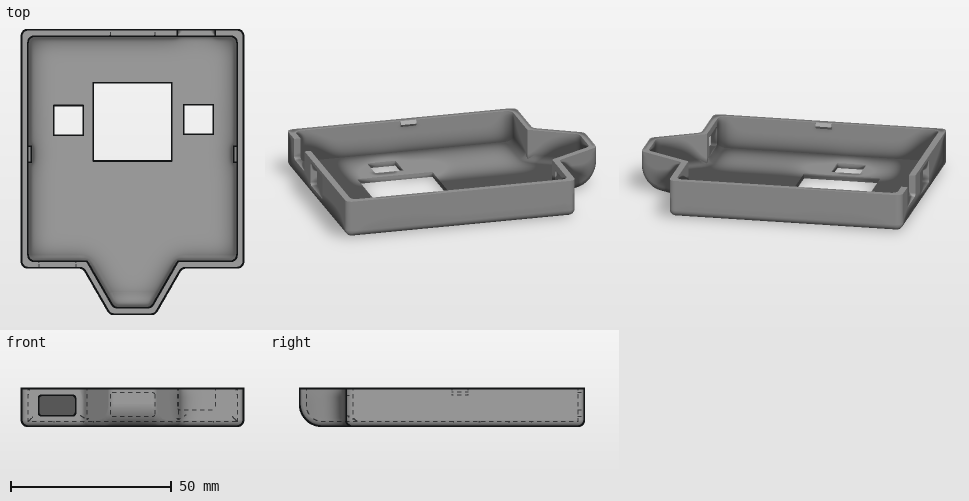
import cadquery as cq
import math

body_width = 69.0
total_length = 88.5
height = 11.8
wall = 2.0
floor = 1.6
corner_radius = 2.0
bottom_radius = 2.0
inner_bottom_radius = 2.0

tongue_length = 14.4
tongue_tip_width = 14.0
tongue_half_angle = math.radians(30)
nose_radius = 7.0

floor_openings = [
    (0, 28.7, 24.25),
    (-19.9, 28.2, 9.1),
    (20.5, 28.0, 9.1),
]

opening_corner_radius = 1.0
port_center_x = -23.45
port_width = 11.5
port_bottom = 3.3
port_height = 6.4
window_center_x = 0
window_width = 14.0
window_bottom = 3.1
window_height = 7.5
notch_center_x = 19.8
notch_width = 11.9
notch_bottom = 5.1

ridge_length = 5.05
ridge_depth = 1.0
ridge_from_back = 38.8

back_y = total_length / 2
tip_y = -back_y
shoulder_y = tip_y + tongue_length
ridge_y = back_y - ridge_from_back
margin = 0.1


def plan_outline(inset):
    """Sharp-cornered plan of the body and tongue, moved inward by inset."""
    taper = math.tan(tongue_half_angle)
    half_body = body_width / 2 - inset
    half_tip = tongue_tip_width / 2 + inset * taper - inset / math.cos(tongue_half_angle)
    half_root = half_tip + tongue_length * taper
    return [
        (half_body, back_y - inset),
        (-half_body, back_y - inset),
        (-half_body, shoulder_y + inset),
        (-half_root, shoulder_y + inset),
        (-half_tip, tip_y + inset),
        (half_tip, tip_y + inset),
        (half_root, shoulder_y + inset),
        (half_body, shoulder_y + inset),
    ]


def prism(inset, bottom):
    """Sharp-edged solid of the plan outline, from bottom up to the rim."""
    base = cq.Workplane("XY", origin=(0, 0, bottom))
    return base.polyline(plan_outline(inset)).close().extrude(height - bottom)


def shoulder_band(inset, half_width):
    """Selector box around the shoulder plane, across the given half width."""
    y = shoulder_y + inset
    return cq.selectors.BoxSelector(
        (-half_width, y - margin, -height),
        (half_width, y + margin, 2 * height),
    )


def round_tongue(solid, inset):
    """Round the underside of the tongue tip and the upright edges where the tongue leaves the body."""
    solid = solid.faces("<Y").edges("<Z").fillet(nose_radius - inset)
    inside_corners = shoulder_band(inset, body_width / 2 - 2 * wall)
    return solid.edges("|Z").edges(inside_corners).fillet(corner_radius + inset)


def round_body_corners(solid):
    """Round the four upright corner edges of the rectangular body."""
    return solid.edges("|Z and (<X or >X)").fillet(corner_radius)


def make_outer():
    """Outside of the tray; the bottom rounding runs tangentially up the tongue tip corners."""
    solid = round_body_corners(round_tongue(prism(0, 0), 0))
    return solid.faces("<Z").edges(">Y").fillet(bottom_radius)


def make_cavity():
    """Inside of the tray: rounded at the floor along the shoulders and tongue, sharp elsewhere."""
    solid = round_tongue(prism(wall, floor), wall)
    shoulder_edges = solid.faces("<Z").edges("|X").edges(shoulder_band(wall, body_width / 2))
    solid = shoulder_edges.fillet(inner_bottom_radius)
    return solid.intersect(round_body_corners(prism(wall, floor)))


def floor_opening(center_x, from_back, side):
    """Square block that cuts through the floor."""
    return cq.Workplane("XY").center(center_x, back_y - from_back).rect(side, side).extrude(2 * floor)


def wall_opening(center_x, wall_y, width, bottom, tall):
    """Block with rounded corners that cuts through a wall centred on wall_y."""
    block = cq.Workplane("XY").box(width, 2 * wall, tall, centered=(True, True, False))
    return block.edges("|Y").fillet(opening_corner_radius).translate((center_x, wall_y, bottom))


def snap_ridge(side):
    """Triangular ridge below the rim, inside the +X (side = 1) or -X (side = -1) wall."""
    inner_x = side * (body_width / 2 - wall)
    root_x = side * (body_width / 2 - wall / 2)
    section = [
        (root_x, height),
        (inner_x, height),
        (inner_x - side * ridge_depth, height - ridge_depth),
        (inner_x, height - 2 * ridge_depth),
        (root_x, height - 2 * ridge_depth),
    ]
    profile = cq.Workplane("XZ", origin=(0, ridge_y, 0)).polyline(section).close()
    return profile.extrude(ridge_length / 2, both=True)


result = make_outer().cut(make_cavity())

for center_x, from_back, side_length in floor_openings:
    result = result.cut(floor_opening(center_x, from_back, side_length))

front_wall_y = shoulder_y + wall / 2
back_wall_y = back_y - wall / 2
port = wall_opening(port_center_x, front_wall_y, port_width, port_bottom, port_height)
window = wall_opening(window_center_x, back_wall_y, window_width, window_bottom, window_height)
notch = wall_opening(notch_center_x, back_wall_y, notch_width, notch_bottom, height)
result = result.cut(port).cut(window).cut(notch)

for side in (-1, 1):
    result = result.union(snap_ridge(side))